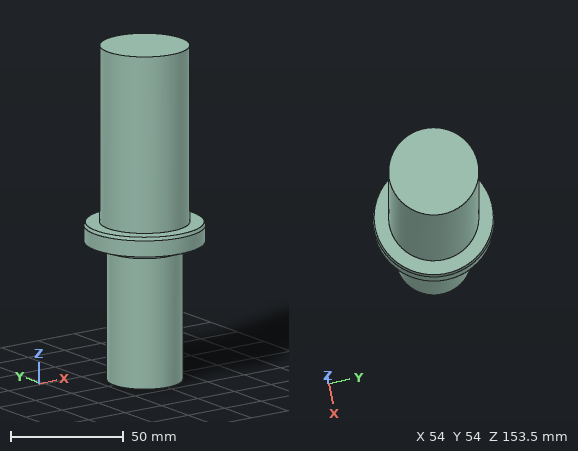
import cadquery as cq

total_length = 153.5
lower_diameter = 34.0
upper_diameter = 40.0
collar_diameter = 54.0

lower_length = 60.0
collar_height = 12.5
cone_height = 3.5

bevel_width = 0.6
bevel_height = 1.5

lower_radius = lower_diameter / 2
upper_radius = upper_diameter / 2
collar_radius = collar_diameter / 2
cone_top = lower_length + cone_height
collar_top = lower_length + collar_height

half_profile = (
    cq.Workplane("XZ")
    .moveTo(0, 0)
    .lineTo(lower_radius, 0)
    .lineTo(lower_radius, lower_length)
    .lineTo(collar_radius, cone_top)
    .lineTo(collar_radius, collar_top - bevel_height)
    .lineTo(collar_radius - bevel_width, collar_top)
    .lineTo(upper_radius, collar_top)
    .lineTo(upper_radius, total_length)
    .lineTo(0, total_length)
    .close()
)

result = half_profile.revolve(360, (0, 0, 0), (0, 1, 0))